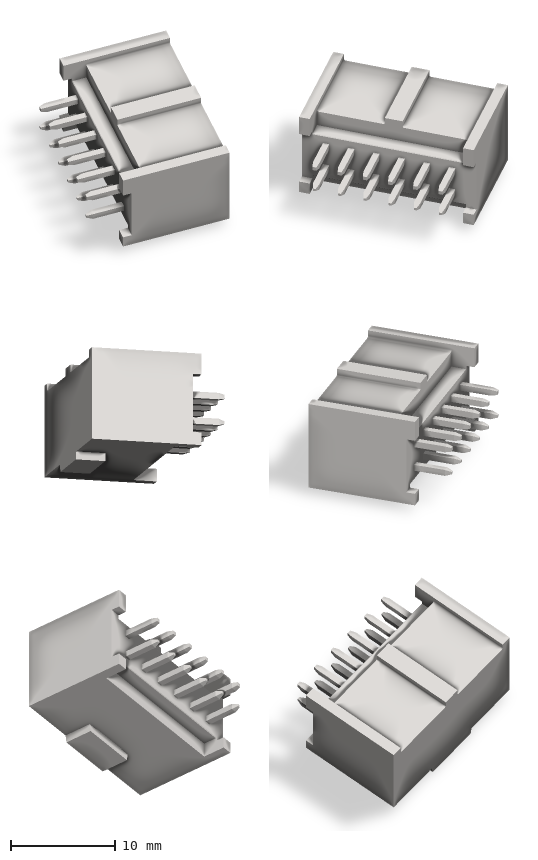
import cadquery as cq

housing_width = 17.58
housing_height = 9.0
wall_thickness = 1.07
wall_length = 10.9
bay_width = housing_width - 2 * wall_thickness

core_length = 10.02
core_top = 8.25
shoulder_length = 8.56
ledge_top = 6.61
ledge_bottom = 1.58
ledge_chamfer = 0.07
wall_fillet = 0.2

upper_foot_bottom = 6.96
lower_foot_top = 1.25

rib_width = 1.8
rib_fillet = 0.12

latch_height = 0.75
latch_length = 2.92
latch_root_width = 6.01
latch_tip_width = 5.73
latch_web_width = 3.95
latch_web_size = 0.07

pin_columns = 6
pin_span = 12.7
pin_pitch = pin_span / (pin_columns - 1)
pin_rows_middle = 4.15
pin_size = 0.63
pin_taper_length = 0.62
pin_tip_y = -3.78
upper_tip_size = 0.39
lower_tip_size = 0.26

back_y = core_length
wall_front_y = back_y - wall_length
shoulder_y = back_y - shoulder_length


def box(width, y_range, z_range):
    """Block centred on X that spans the given Y and Z ranges."""
    y_min, y_max = y_range
    z_min, z_max = z_range
    block = cq.Workplane("XY").box(width, y_max - y_min, z_max - z_min, centered=(True, False, False))
    return block.translate((0, y_min, z_min))


def make_end_walls():
    """Full-height end walls, notched at the pin side to leave two feet."""
    full = box(housing_width, (wall_front_y, back_y), (0, housing_height))
    bay = box(bay_width, (wall_front_y, back_y), (0, housing_height))
    notch = box(housing_width, (wall_front_y, 0), (lower_foot_top, upper_foot_bottom))
    return full.cut(bay).cut(notch)


def make_core():
    """Central block with a chamfered ledge that carries the pins."""
    block = box(bay_width, (shoulder_y, back_y), (0, core_top))
    ledge = box(bay_width, (0, back_y), (ledge_bottom, ledge_top))
    ledge = ledge.faces("<Y").edges("|X").chamfer(ledge_chamfer)
    return block.union(ledge)


def make_rib():
    return box(rib_width, (shoulder_y, back_y), (core_top, housing_height))


def make_corner_fillet(corner_x, side, radius):
    """Concave fillet on the core's top; it spreads from the corner towards side (+1 or -1)."""
    far_x = corner_x + side * radius
    strip = (
        cq.Workplane("XZ", origin=(0, back_y, 0))
        .moveTo(corner_x, core_top)
        .lineTo(far_x, core_top)
        .radiusArc((corner_x, core_top + radius), side * radius)
        .close()
        .extrude(shoulder_length)
    )
    return strip


def make_latch():
    """Trapezoidal latch at the mating end, narrowing downwards."""
    profile = [
        (-latch_root_width / 2, 0),
        (latch_root_width / 2, 0),
        (latch_tip_width / 2, -latch_height),
        (-latch_tip_width / 2, -latch_height),
    ]
    return cq.Workplane("XZ", origin=(0, back_y, 0)).polyline(profile).close().extrude(latch_length)


def make_latch_web():
    """Small triangular web in the corner between the bottom face and the latch's front."""
    latch_front_y = back_y - latch_length
    profile = [
        (latch_front_y, 0),
        (latch_front_y - latch_web_size, 0),
        (latch_front_y, -latch_web_size),
    ]
    return cq.Workplane("YZ").polyline(profile).close().extrude(latch_web_width / 2, both=True)


def make_pin(x, z, tip_size):
    """Square pin that leaves the core towards -Y and ends in a blunt pyramid."""
    taper_y = pin_tip_y + pin_taper_length
    shank = cq.Workplane("XZ", origin=(x, 0, z)).rect(pin_size, pin_size).extrude(-taper_y)
    tip = (
        cq.Workplane("XZ", origin=(x, taper_y, z))
        .rect(pin_size, pin_size)
        .workplane(offset=pin_taper_length)
        .rect(tip_size, tip_size)
        .loft(ruled=True)
    )
    return shank.union(tip)


result = make_core().union(make_end_walls()).union(make_rib()).union(make_latch()).union(make_latch_web())

for side in (-1, 1):
    result = result.union(make_corner_fillet(side * bay_width / 2, -side, wall_fillet))
    result = result.union(make_corner_fillet(side * rib_width / 2, side, rib_fillet))

for column in range(pin_columns):
    pin_x = -pin_span / 2 + column * pin_pitch
    result = result.union(make_pin(pin_x, pin_rows_middle + pin_pitch / 2, upper_tip_size))
    result = result.union(make_pin(pin_x, pin_rows_middle - pin_pitch / 2, lower_tip_size))